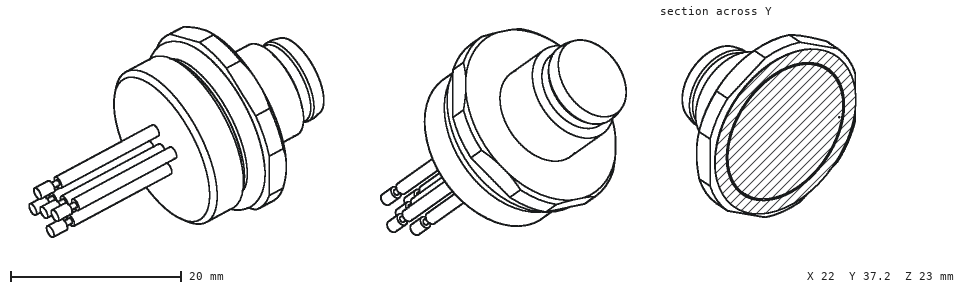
import cadquery as cq
import math


FLANGE_WIDTH = 22.0
FLANGE_DIAMETER = 23.0
FLANGE_THICKNESS = 2.5
FLANGE_CHAMFER = 0.45

NOSE_TIP_Y = 12.5
SHANK_DIAMETER = 12.0
SHANK_LENGTH = 6.3
SHANK_CONE_LENGTH = 0.52
NECK_DIAMETER = 10.0
BEAD_DIAMETER = 10.4
BEAD_WIDTH = 0.7
BEAD_BACK_LENGTH = 0.35
TIP_DIAMETER = 10.0
TIP_TAPER_LENGTH = 0.9

RING_CORD = 2.1
RING_SQUEEZE = 0.05
GROOVE_DIAMETER = 17.5
GROOVE_WIDTH = 2.4
GROOVE_FLANK_DIAMETER = 18.03
GROOVE_FLANK_LENGTH = 0.25
BODY_DIAMETER = 20.0
BODY_REAR_Y = -7.5
BODY_CHAMFER = 0.65

WIRE_DIAMETER = 1.5
CORE_DIAMETER = 0.7
WIRE_CIRCLE_RADIUS = 2.5
WIRE_COUNT = 4
WIRE_ANGLE = 30
WIRE_LENGTH = 17.25
STRIPPED_LENGTH = 1.0
CORE_START = 14.25
EMBED = 0.37


def revolve_profile(points):
    """Turn a closed (radius, y) outline around the Y axis."""
    return cq.Workplane("XY").polyline(points).close().revolve(360, (0, 0), (0, 1))


def cylinder(diameter, y_from, y_to, x=0, z=0):
    """Cylinder along Y between two stations."""
    base = cq.Workplane("XZ", origin=(x, y_from, z)).circle(diameter / 2)
    return base.extrude(y_from - y_to)


def hex_flange():
    hexagon = (
        cq.Workplane("XZ")
        .polygon(6, FLANGE_WIDTH, circumscribed=True)
        .extrude(-FLANGE_THICKNESS)
    )
    blank = cylinder(FLANGE_DIAMETER, 0, FLANGE_THICKNESS).faces(">Y").chamfer(FLANGE_CHAMFER)
    return hexagon.intersect(blank)


def nose():
    shank_front = FLANGE_THICKNESS + SHANK_LENGTH
    bead_front = NOSE_TIP_Y - TIP_TAPER_LENGTH
    bead_rear = bead_front - BEAD_WIDTH
    shank_radius = SHANK_DIAMETER / 2
    neck_radius = NECK_DIAMETER / 2
    return revolve_profile([
        (0, 0),
        (shank_radius, 0),
        (shank_radius, shank_front),
        (neck_radius, shank_front + SHANK_CONE_LENGTH),
        (neck_radius, bead_rear - BEAD_BACK_LENGTH),
        (BEAD_DIAMETER / 2, bead_rear),
        (BEAD_DIAMETER / 2, bead_front),
        (TIP_DIAMETER / 2, NOSE_TIP_Y),
        (0, NOSE_TIP_Y),
    ])


def rear_body():
    drum = cylinder(BODY_DIAMETER, BODY_REAR_Y, -GROOVE_WIDTH).faces("<Y or >Y").chamfer(BODY_CHAMFER)
    floor_radius = GROOVE_DIAMETER / 2
    flank_radius = GROOVE_FLANK_DIAMETER / 2
    groove_core = revolve_profile([
        (0, -GROOVE_WIDTH - EMBED),
        (flank_radius, -GROOVE_WIDTH - EMBED),
        (flank_radius, -GROOVE_WIDTH),
        (floor_radius, -GROOVE_WIDTH + GROOVE_FLANK_LENGTH),
        (floor_radius, EMBED),
        (0, EMBED),
    ])
    return drum.union(groove_core)


def o_ring():
    cord_radius = RING_CORD / 2
    ring_radius = GROOVE_DIAMETER / 2 + cord_radius
    return (
        cq.Workplane("XY")
        .center(-ring_radius, RING_SQUEEZE - cord_radius)
        .circle(cord_radius)
        .revolve(360, (ring_radius, 0), (ring_radius, 1))
    )


def wire(x, z):
    core_front = BODY_REAR_Y - CORE_START
    core_rear = core_front - STRIPPED_LENGTH
    end = BODY_REAR_Y - WIRE_LENGTH
    sleeve = cylinder(WIRE_DIAMETER, core_front, BODY_REAR_Y + EMBED, x, z)
    core = cylinder(CORE_DIAMETER, core_rear - EMBED, core_front + EMBED, x, z)
    end_sleeve = cylinder(WIRE_DIAMETER, end, core_rear, x, z)
    return sleeve.union(core).union(end_sleeve)


result = hex_flange().union(nose()).union(rear_body()).union(o_ring()).union(wire(0, 0))
for index in range(WIRE_COUNT):
    angle = math.radians(WIRE_ANGLE + index * 360 / WIRE_COUNT)
    result = result.union(wire(WIRE_CIRCLE_RADIUS * math.cos(angle), WIRE_CIRCLE_RADIUS * math.sin(angle)))